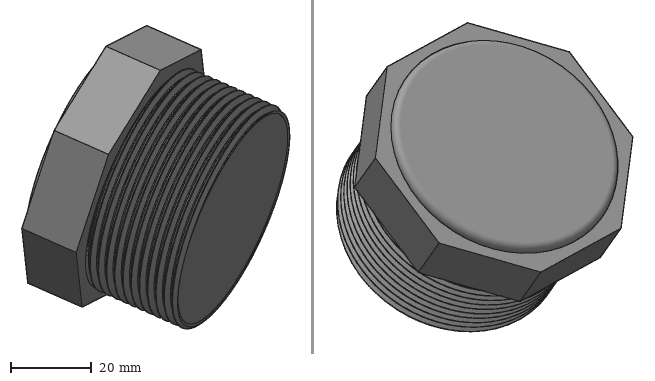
import cadquery as cq
import math

OVERALL_HEIGHT = 67.65
OVERALL_LENGTH = 43.0
OCTAGON_SIDES = 8
OCTAGON_TILT = 6.6
CAP_DIAMETER = 59.5
CAP_HEIGHT = 1.95
CAP_ROUNDING = 1.9
HEAD_LENGTH = 15.35

CORE_DIAMETER = 56.6
CREST_DIAMETER = 59.7
THREAD_TURNS = 11.1
CREST_WIDTH = 0.2
ROOT_WIDTH = 0.35
RUN_OUT_TURNS = 1

head_end = CAP_HEIGHT + HEAD_LENGTH
shank_length = OVERALL_LENGTH - head_end
thread_pitch = shank_length / THREAD_TURNS
core_radius = CORE_DIAMETER / 2
crest_radius = CREST_DIAMETER / 2
half_corner_angle = 180 / OCTAGON_SIDES
octagon_diameter = OVERALL_HEIGHT / math.cos(math.radians(half_corner_angle - OCTAGON_TILT))


def along_x(start):
    """Workplane at X = start, facing +X, with local x along Y and local y along Z."""
    return cq.Workplane("YZ", origin=(start, 0, 0))


def make_plug():
    """Rounded cap, octagonal head and plain shank core as one solid."""
    cap = along_x(0).circle(CAP_DIAMETER / 2).extrude(CAP_HEIGHT)
    cap = cap.faces("<X").edges().fillet(CAP_ROUNDING)
    head = (
        along_x(CAP_HEIGHT)
        .transformed(rotate=(0, 0, half_corner_angle + OCTAGON_TILT))
        .polygon(OCTAGON_SIDES, octagon_diameter)
        .extrude(HEAD_LENGTH)
    )
    core = along_x(head_end).circle(core_radius).extrude(shank_length)
    return cap.union(head).union(core)


def make_thread():
    """Right-handed helical ridge on the core, trimmed flush with both ends of the shank."""
    run_out = RUN_OUT_TURNS * thread_pitch
    helix = cq.Wire.makeHelix(thread_pitch, shank_length + 2 * run_out, core_radius)

    half_crest = CREST_WIDTH / 2
    half_base = (thread_pitch - ROOT_WIDTH) / 2
    ridge = (
        cq.Workplane("XZ")
        .moveTo(core_radius, -half_base)
        .lineTo(crest_radius, -half_crest)
        .lineTo(crest_radius, half_crest)
        .lineTo(core_radius, half_base)
        .close()
        .sweep(cq.Workplane(obj=helix), isFrenet=True)
    )
    ridge = ridge.rotate((0, 0, 0), (0, 1, 0), 90).translate((head_end - run_out, 0, 0))
    shank_span = along_x(head_end).circle(CREST_DIAMETER).extrude(shank_length)
    return ridge.intersect(shank_span)


plug = make_plug()
thread = make_thread()

result = cq.Compound.makeCompound([plug.val(), *thread.vals()])